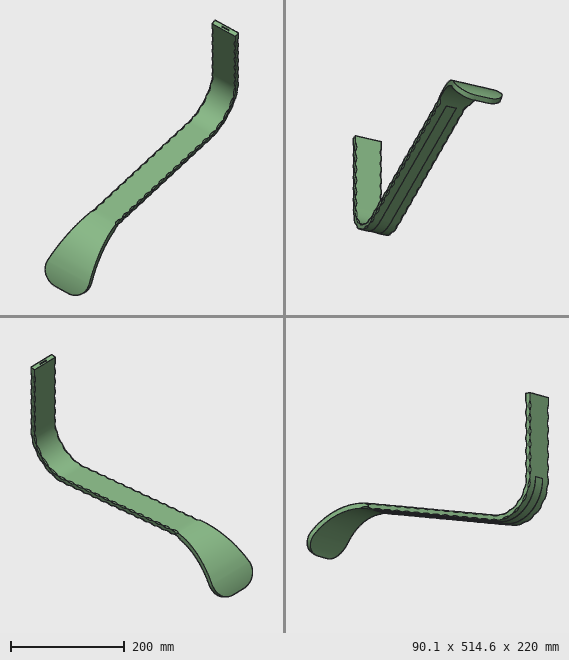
import cadquery as cq
import math

THICKNESS = 10.0
HANDLE_WIDTH = 50.0

UPRIGHT_LENGTH = 150.0
BEND_OUTER_RADIUS = 70.0
ARM_LENGTH = 300.0
ARM_RISE_DEG = 13.3
SPOON_TOP_RADIUS = 122.5
TIP_SLOPE_DEG = 64.6

OUTLINE_SLOPE_DEG = 55.0
TIP_CORNER_WIDTH = 101.0
TIP_CORNER_RADIUS = 32.0
SPOON_SIDE_BULGE = 1.5

SCOOP_COUNT = 24
SCOOP_CHORD = 18.5
SCOOP_WIDTH_DEPTH = 2.5
SCOOP_THICKNESS_DEPTH = 2.0
SCOOP_CUTTER_LENGTH = 10.0

SLOT_LENGTH = 14.0
SLOT_HEIGHT = 1.5
SLOT_DEPTH = 10.0

CHANNEL_WIDTH = 19.0
CHANNEL_DEPTH = 0.5

BEND_INNER_RADIUS = BEND_OUTER_RADIUS - THICKNESS
SPOON_UNDER_RADIUS = SPOON_TOP_RADIUS - THICKNESS
ARM_RISE = math.radians(ARM_RISE_DEG)
TIP_SLOPE = math.radians(TIP_SLOPE_DEG)
OUTLINE_SLOPE = math.radians(OUTLINE_SLOPE_DEG)
BEND_SWEEP = math.pi / 2 + ARM_RISE
BEND_LENGTH = BEND_INNER_RADIUS * BEND_SWEEP
HANDLE_LENGTH = UPRIGHT_LENGTH + BEND_LENGTH + ARM_LENGTH


def move(point, direction, distance):
    """Point in the YZ plane reached by moving along a unit direction."""
    return (point[0] + distance * direction[0], point[1] + distance * direction[1])


BEND_CENTER = (-BEND_OUTER_RADIUS, -UPRIGHT_LENGTH)
ARM_FORWARD = (-math.cos(ARM_RISE), math.sin(ARM_RISE))
ARM_DOWN = (-math.sin(ARM_RISE), -math.cos(ARM_RISE))
ARM_START_TOP = move(BEND_CENTER, ARM_DOWN, BEND_INNER_RADIUS)
ARM_END_TOP = move(ARM_START_TOP, ARM_FORWARD, ARM_LENGTH)
ARM_END_UNDER = move(ARM_END_TOP, ARM_DOWN, THICKNESS)
SPOON_CENTER = move(ARM_END_TOP, ARM_DOWN, SPOON_TOP_RADIUS)


def bend_point(radius, sweep):
    """Point on the bend, swept from the upright towards the arm."""
    return move(BEND_CENTER, (math.cos(sweep), -math.sin(sweep)), radius)


def spoon_point(radius, slope):
    """Point on the spoon arc where the surface falls forward at the given slope."""
    return move(SPOON_CENTER, (-math.sin(slope), math.cos(slope)), radius)


def extrude_across(profile, width):
    """Solid of the given width, centred on X = 0, from a closed YZ profile."""
    return profile.close().extrude(width / 2, both=True)


def make_handle():
    profile = (
        cq.Workplane("YZ")
        .moveTo(0, 0)
        .lineTo(0, -UPRIGHT_LENGTH)
        .threePointArc(
            bend_point(BEND_OUTER_RADIUS, BEND_SWEEP / 2),
            bend_point(BEND_OUTER_RADIUS, BEND_SWEEP),
        )
        .lineTo(*ARM_END_UNDER)
        .lineTo(*ARM_END_TOP)
        .lineTo(*ARM_START_TOP)
        .threePointArc(
            bend_point(BEND_INNER_RADIUS, BEND_SWEEP / 2),
            bend_point(BEND_INNER_RADIUS, 0),
        )
        .lineTo(-THICKNESS, 0)
    )
    return extrude_across(profile, HANDLE_WIDTH)


def make_spoon():
    ribbon_end = TIP_SLOPE + 2 * THICKNESS / SPOON_TOP_RADIUS
    ribbon_middle = (ribbon_end - ARM_RISE) / 2
    profile = (
        cq.Workplane("YZ")
        .moveTo(*ARM_END_TOP)
        .threePointArc(
            spoon_point(SPOON_TOP_RADIUS, ribbon_middle),
            spoon_point(SPOON_TOP_RADIUS, ribbon_end),
        )
        .lineTo(*spoon_point(SPOON_UNDER_RADIUS, ribbon_end))
        .threePointArc(
            spoon_point(SPOON_UNDER_RADIUS, ribbon_middle),
            spoon_point(SPOON_UNDER_RADIUS, -ARM_RISE),
        )
    )
    ribbon = extrude_across(profile, TIP_CORNER_WIDTH)

    outline_plane = cq.Plane(
        origin=(0, *spoon_point(SPOON_TOP_RADIUS, TIP_SLOPE)),
        xDir=(1, 0, 0),
        normal=(0, -math.sin(OUTLINE_SLOPE), math.cos(OUTLINE_SLOPE)),
    )
    neck = SPOON_TOP_RADIUS * (
        math.sin(TIP_SLOPE - OUTLINE_SLOPE) + math.sin(OUTLINE_SLOPE + ARM_RISE)
    )
    half_neck = HANDLE_WIDTH / 2
    half_tip = TIP_CORNER_WIDTH / 2
    half_middle = (half_neck + half_tip) / 2 + SPOON_SIDE_BULGE
    outline = (
        cq.Workplane(outline_plane)
        .moveTo(-half_tip, 0)
        .lineTo(half_tip, 0)
        .threePointArc((half_middle, neck / 2), (half_neck, neck))
        .lineTo(-half_neck, neck)
        .threePointArc((-half_middle, neck / 2), (-half_tip, 0))
        .close()
        .extrude(SPOON_TOP_RADIUS, both=True)
        .faces(cq.selectors.DirectionMinMaxSelector(outline_plane.yDir, directionMax=False))
        .edges(cq.selectors.ParallelDirSelector(outline_plane.zDir))
        .fillet(TIP_CORNER_RADIUS)
    )
    return ribbon.intersect(outline)


def handle_station(distance):
    """Inner-face point and forward direction at a distance from the upper end, along the inner face."""
    if distance <= UPRIGHT_LENGTH:
        return (-THICKNESS, -distance), (0, -1)
    if distance <= UPRIGHT_LENGTH + BEND_LENGTH:
        sweep = (distance - UPRIGHT_LENGTH) / BEND_INNER_RADIUS
        return bend_point(BEND_INNER_RADIUS, sweep), (-math.sin(sweep), -math.cos(sweep))
    return move(ARM_START_TOP, ARM_FORWARD, distance - UPRIGHT_LENGTH - BEND_LENGTH), ARM_FORWARD


def make_scoops():
    """Round cutters that lie slantwise across each long edge, evenly spaced down the handle."""
    slant = math.hypot(SCOOP_WIDTH_DEPTH, SCOOP_THICKNESS_DEPTH)
    depth = SCOOP_WIDTH_DEPTH * SCOOP_THICKNESS_DEPTH / slant
    radius = SCOOP_CHORD**2 / (8 * depth) + depth / 2
    across = SCOOP_WIDTH_DEPTH / slant
    through = SCOOP_THICKNESS_DEPTH / slant
    offset = radius - depth
    cutters = []
    for index in range(1, SCOOP_COUNT + 1):
        inner, forward = handle_station(HANDLE_LENGTH * index / SCOOP_COUNT)
        outward = (forward[1], -forward[0])
        outer = move(inner, outward, -THICKNESS)
        for edge, face in ((inner, 1), (outer, -1)):
            for side in (-1, 1):
                axis_y, axis_z = move(edge, outward, face * offset * across)
                center = cq.Vector(side * (HANDLE_WIDTH / 2 + offset * through), axis_y, axis_z)
                axis = cq.Vector(
                    side * across,
                    -face * through * outward[0],
                    -face * through * outward[1],
                )
                base = center - axis * (SCOOP_CUTTER_LENGTH / 2)
                cutters.append(cq.Solid.makeCylinder(radius, SCOOP_CUTTER_LENGTH, base, axis))
    return cutters


def make_slot():
    return (
        cq.Workplane("XY")
        .center(0, -THICKNESS / 2)
        .rect(SLOT_LENGTH, SLOT_HEIGHT)
        .extrude(-SLOT_DEPTH)
    )


def make_channel():
    """Shallow flat-bottomed channel along the underside of the arm and the bend."""
    floor_radius = BEND_OUTER_RADIUS - CHANNEL_DEPTH
    arm_end_floor = move(ARM_END_UNDER, ARM_DOWN, -CHANNEL_DEPTH)
    profile = (
        cq.Workplane("YZ")
        .moveTo(*bend_point(BEND_OUTER_RADIUS, 0))
        .threePointArc(
            bend_point(BEND_OUTER_RADIUS, BEND_SWEEP / 2),
            bend_point(BEND_OUTER_RADIUS, BEND_SWEEP),
        )
        .lineTo(*ARM_END_UNDER)
        .lineTo(*arm_end_floor)
        .lineTo(*bend_point(floor_radius, BEND_SWEEP))
        .threePointArc(bend_point(floor_radius, BEND_SWEEP / 2), bend_point(floor_radius, 0))
    )
    return extrude_across(profile, CHANNEL_WIDTH)


handle = make_handle().cut(make_channel()).cut(make_slot())
result = handle.union(make_spoon())
for scoop in make_scoops():
    result = result.cut(cq.Workplane(scoop))